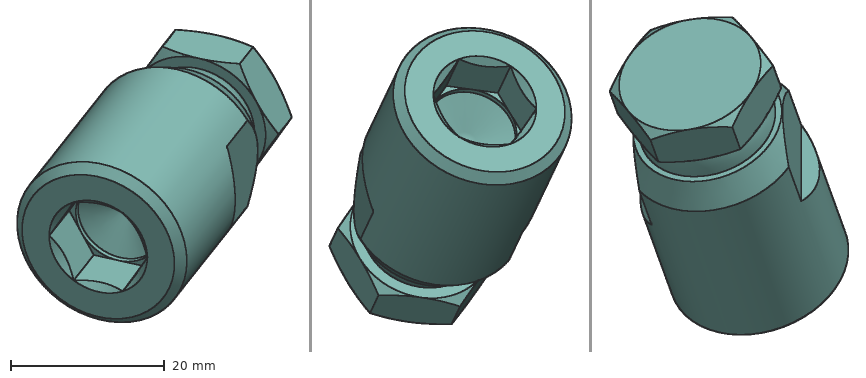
import cadquery as cq
import math

total_length = 39.9

housing_radius = 12.0
housing_length = 30.0
mouth_chamfer = 1.25
taper_end_radius = 9.95
taper_angle = 30.0
flat_half_width = 10.0
flat_start = 19.47

socket_across_flats = 12.0
socket_depth = 6.75
socket_lead_angle = 45.0
drill_depth = 7.5
drill_point_half_angle = 60.0

nut_across_flats = 19.0
nut_thickness = 6.2
nut_chamfer_angle = 30.0
ball_radius = 9.15
ball_center = 29.15


def tan_deg(angle):
    return math.tan(math.radians(angle))


def corner_radius(across_flats):
    return across_flats / 2 / math.cos(math.radians(30))


def revolve_about_y(outline):
    return outline.close().revolve(360, (0, 0, 0), (0, 1, 0))


def hex_prism(across_flats, start, length):
    """Hexagonal prism along +Y with corners on the X axis."""
    plane = cq.Workplane("XZ", origin=(0, start, 0))
    return plane.polygon(6, 2 * corner_radius(across_flats)).extrude(-length)


def housing_blank():
    taper_length = (housing_radius - taper_end_radius) / tan_deg(taper_angle)
    return revolve_about_y(
        cq.Workplane("XY")
        .lineTo(housing_radius - mouth_chamfer, 0)
        .lineTo(housing_radius, mouth_chamfer)
        .lineTo(housing_radius, housing_length - taper_length)
        .lineTo(taper_end_radius, housing_length)
        .lineTo(0, housing_length)
    )


def wrench_flat_cutter(side):
    """Material removed beside one flat; side is +1 or -1 along X."""
    depth = housing_radius - flat_half_width
    return (
        cq.Workplane("XY")
        .moveTo(side * flat_half_width, flat_start)
        .lineTo(side * (flat_half_width + 2 * depth), flat_start - 2 * depth)
        .lineTo(side * (flat_half_width + 2 * depth), housing_length)
        .lineTo(side * flat_half_width, housing_length)
        .close()
        .extrude(housing_radius, both=True)
    )


def socket_cutter():
    hexagon = hex_prism(socket_across_flats, 0, socket_depth)
    mouth_radius = corner_radius(socket_across_flats)
    lead_in = revolve_about_y(
        cq.Workplane("XY")
        .lineTo(mouth_radius, 0)
        .lineTo(0, mouth_radius * tan_deg(socket_lead_angle))
    )
    drill_radius = socket_across_flats / 2
    drilled_hole = revolve_about_y(
        cq.Workplane("XY")
        .moveTo(0, socket_depth)
        .lineTo(drill_radius, socket_depth)
        .lineTo(drill_radius, drill_depth)
        .lineTo(0, drill_depth + drill_radius / tan_deg(drill_point_half_angle))
    )
    return hexagon.union(lead_in).union(drilled_hole)


def make_housing():
    housing = housing_blank().cut(socket_cutter())
    for side in (-1, 1):
        housing = housing.cut(wrench_flat_cutter(side))
    return housing


def nut_head():
    """Hexagon whose corners are chamfered on both faces down to the flats."""
    start = total_length - nut_thickness
    face_radius = nut_across_flats / 2
    outer_radius = corner_radius(nut_across_flats)
    chamfer_height = (outer_radius - face_radius) * tan_deg(nut_chamfer_angle)
    envelope = revolve_about_y(
        cq.Workplane("XY")
        .moveTo(0, start)
        .lineTo(face_radius, start)
        .lineTo(outer_radius, start + chamfer_height)
        .lineTo(outer_radius, total_length - chamfer_height)
        .lineTo(face_radius, total_length)
        .lineTo(0, total_length)
    )
    return hex_prism(nut_across_flats, start, nut_thickness).intersect(envelope)


def ball_collar():
    """Spherical band between the housing end and the nut head."""
    end = total_length - nut_thickness
    middle = (housing_length + end) / 2

    def point_at(y):
        return math.sqrt(ball_radius**2 - (y - ball_center)**2), y

    return revolve_about_y(
        cq.Workplane("XY")
        .moveTo(0, housing_length)
        .lineTo(*point_at(housing_length))
        .threePointArc(point_at(middle), point_at(end))
        .lineTo(0, end)
    )


def make_nut():
    return nut_head().union(ball_collar())


housing = make_housing()
nut = make_nut()

result = cq.Compound.makeCompound([housing.val(), nut.val()])